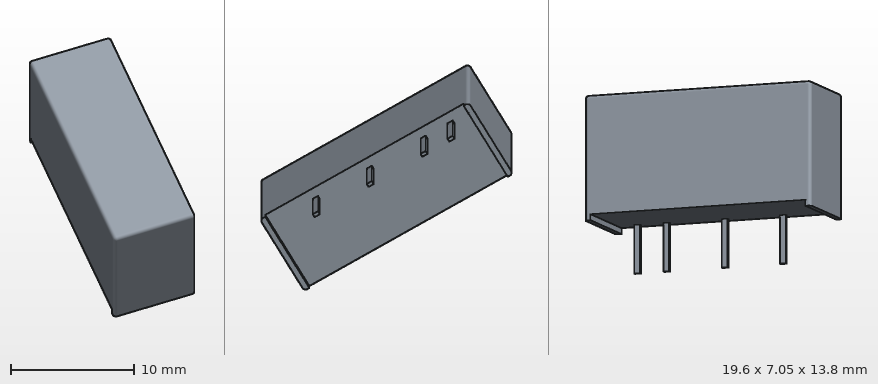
import cadquery as cq

CASE_LENGTH = 19.65
CASE_WIDTH = 7.05
OVERALL_HEIGHT = 13.8
EDGE_RADIUS = 0.3
FOOT_LENGTH = 0.5
FOOT_HEIGHT = 0.5

PIN_WIDTH = 0.5
PIN_THICKNESS = 0.3
PIN_BELOW_FEET = 3.5
PIN_PITCH = 2.53
PIN_PLACES = (-3, -2, 0, 2)
PIN_ROW_INSET = 0.92

CASE_HEIGHT = OVERALL_HEIGHT - PIN_BELOW_FEET
PIN_LENGTH = PIN_BELOW_FEET + FOOT_HEIGHT
PIN_ROW_Y = CASE_WIDTH / 2 - PIN_ROW_INSET


def make_case():
    block = cq.Workplane("XY").box(CASE_LENGTH, CASE_WIDTH, CASE_HEIGHT, centered=(True, True, False))
    block = block.edges("|Z or >Z").fillet(EDGE_RADIUS)
    gap_length = CASE_LENGTH - 2 * FOOT_LENGTH
    gap = cq.Workplane("XY").box(gap_length, CASE_WIDTH, FOOT_HEIGHT, centered=(True, True, False))
    return block.cut(gap)


def make_pins():
    pin_centres = [(place * PIN_PITCH, PIN_ROW_Y) for place in PIN_PLACES]
    return (
        cq.Workplane("XY")
        .workplane(offset=-PIN_BELOW_FEET)
        .pushPoints(pin_centres)
        .rect(PIN_WIDTH, PIN_THICKNESS)
        .extrude(PIN_LENGTH)
    )


result = make_case().union(make_pins())